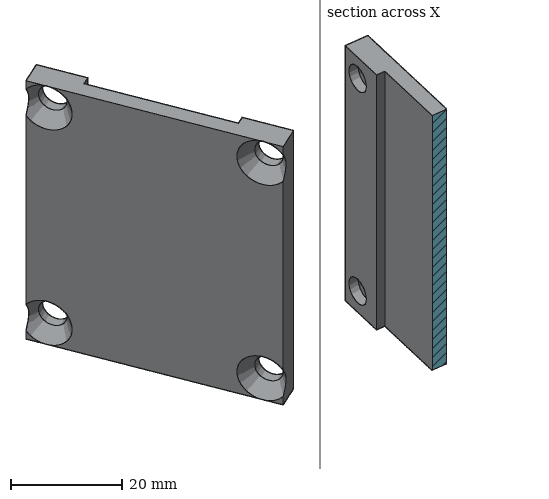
import cadquery as cq

plate_width = 50.0
plate_thickness = 5.0
plate_height = 60.0

rail_width = 10.0
channel_depth = 1.8
channel_width = plate_width - 2 * rail_width

hole_diameter = 5.5
sink_diameter = 10.0
sink_depth = 3.0
hole_side_inset = 4.0
hole_end_inset = 5.0

front_y = -plate_thickness / 2
back_y = plate_thickness / 2


def make_plate():
    return cq.Workplane("XY").box(plate_width, plate_thickness, plate_height)


def make_channel():
    channel_center_y = back_y - channel_depth / 2
    return (
        cq.Workplane("XY")
        .box(channel_width, channel_depth, plate_height)
        .translate((0, channel_center_y, 0))
    )


def make_screw_hole(x, z):
    """Through hole with a conical countersink, on an axis parallel to Y."""
    hole_radius = hole_diameter / 2
    sink_radius = sink_diameter / 2
    half_profile = [
        (0, front_y),
        (sink_radius, front_y),
        (hole_radius, front_y + sink_depth),
        (hole_radius, back_y),
        (0, back_y),
    ]
    hole = cq.Workplane("XY").polyline(half_profile).close().revolve(360, (0, 0), (0, 1))
    return hole.translate((x, 0, z))


result = make_plate().cut(make_channel())

hole_x = plate_width / 2 - hole_side_inset
hole_z = plate_height / 2 - hole_end_inset
for x in (-hole_x, hole_x):
    for z in (-hole_z, hole_z):
        result = result.cut(make_screw_hole(x, z))